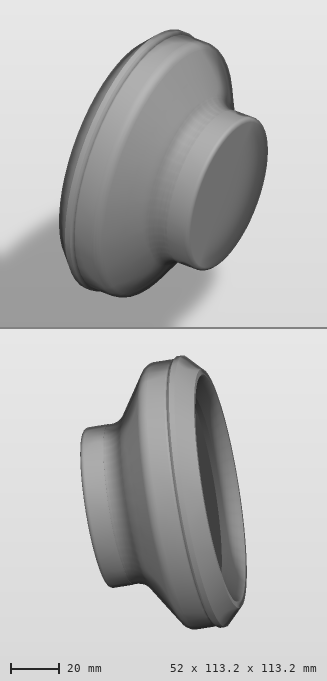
import cadquery as cq
import math


ring_outer_radius = 56.6
ring_inner_radius = 41.2
ring_width = 15.9
ring_flat = 2.3
outer_bevel = (ring_width - ring_flat) / 2
front_outer_radius = ring_outer_radius - outer_bevel
front_inner_radius = front_outer_radius - ring_flat
inner_bevel = front_inner_radius - ring_inner_radius

total_length = 52.0
rim_radius = 111.5 / 2
rim_edge_fillet = 1.4
rim_front = 9.9
shoulder_start = 18.8
shoulder_fillet = 5.0
throat_radius = 66.6 / 2
throat_start = 40.9
throat_fillet = 8.0
neck_radius = 67.0 / 2
neck_start = 41.9
neck_end_fillet = 1.8
face_place = 8.6


def revolve_about_x(profile):
    return profile.close().revolve(360, (0, 0, 0), (1, 0, 0))


def make_seal_ring():
    return revolve_about_x(
        cq.Workplane("XY")
        .moveTo(0, front_inner_radius)
        .lineTo(0, front_outer_radius)
        .lineTo(outer_bevel, ring_outer_radius)
        .lineTo(ring_width - outer_bevel, ring_outer_radius)
        .lineTo(ring_width, front_outer_radius)
        .lineTo(ring_width, front_inner_radius)
        .lineTo(ring_width - inner_bevel, ring_inner_radius)
        .lineTo(inner_bevel, ring_inner_radius)
    )


def arc_point(center, radius, angle):
    """Point on an arc at an angle from the +Y direction, turning toward +X."""
    return (center[0] + radius * math.sin(angle), center[1] + radius * math.cos(angle))


def make_plug_blank():
    shoulder_center = (shoulder_start, rim_radius - shoulder_fillet)
    throat_center = (throat_start, throat_radius + throat_fillet)
    center_run = throat_center[0] - shoulder_center[0]
    center_drop = shoulder_center[1] - throat_center[1]
    center_distance = math.hypot(center_run, center_drop)
    flank_angle = math.atan2(center_drop, center_run)
    flank_angle += math.asin((shoulder_fillet + throat_fillet) / center_distance)

    rim_edge_center = (rim_front + rim_edge_fillet, rim_radius - rim_edge_fillet)
    neck_end_center = (total_length - neck_end_fillet, neck_radius - neck_end_fillet)
    half_right_angle = math.pi / 4
    return revolve_about_x(
        cq.Workplane("XY")
        .moveTo(face_place, 0)
        .lineTo(face_place, ring_inner_radius)
        .lineTo(rim_front, ring_inner_radius)
        .lineTo(rim_front, rim_edge_center[1])
        .threePointArc(
            arc_point(rim_edge_center, rim_edge_fillet, -half_right_angle),
            (rim_edge_center[0], rim_radius),
        )
        .lineTo(shoulder_start, rim_radius)
        .threePointArc(
            arc_point(shoulder_center, shoulder_fillet, flank_angle / 2),
            arc_point(shoulder_center, shoulder_fillet, flank_angle),
        )
        .lineTo(*arc_point(throat_center, -throat_fillet, flank_angle))
        .threePointArc(
            arc_point(throat_center, -throat_fillet, flank_angle / 2),
            (throat_start, throat_radius),
        )
        .lineTo(neck_start, throat_radius)
        .lineTo(neck_start, neck_radius)
        .lineTo(neck_end_center[0], neck_radius)
        .threePointArc(
            arc_point(neck_end_center, neck_end_fillet, half_right_angle),
            (total_length, neck_end_center[1]),
        )
        .lineTo(total_length, 0)
    )


seal_ring = make_seal_ring()
plug = make_plug_blank().cut(seal_ring)

result = cq.Compound.makeCompound([seal_ring.val(), *plug.solids().vals()])